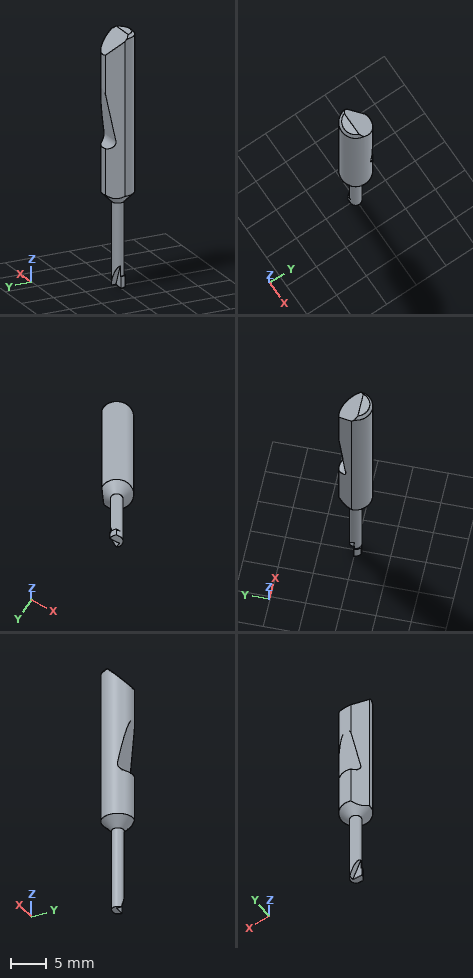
import cadquery as cq
import math

length = 38.1
shank_radius = 2.38
neck_radius = 0.895
neck_top = 12.73
shank_bottom = neck_top + shank_radius - neck_radius
top_chamfer = 0.42

bevel_start_y = -0.7
flat_distance = 1.962
flat_azimuth = 143.0
notch_bottom = 21.15
notch_top = 29.87
notch_floor_y = 1.085
notch_radius = 1.15

tooth_reach = 1.1
tooth_edge_y = 0.057
tooth_height = 1.75
flank_x = -0.95
flank_y = -0.45
heel_x = -0.6
rake_top = 3.3
rake_end_x = 0.5
end_relief = 0.1

clear = 7.62


def turned_body():
    """Chamfered shank, cone and slender neck."""
    profile = [
        (0, 0),
        (neck_radius, 0),
        (neck_radius, neck_top),
        (shank_radius, shank_bottom),
        (shank_radius, length - top_chamfer),
        (shank_radius - top_chamfer, length),
        (0, length),
    ]
    return cq.Workplane("XZ").polyline(profile).close().revolve(360, (0, 0), (0, 1))


def side_bevel():
    """45 degree cut across the +Y side of the top."""
    outline = [
        (bevel_start_y, length),
        (bevel_start_y + clear, length - clear),
        (bevel_start_y + clear, length),
    ]
    return cq.Workplane("YZ").polyline(outline).close().extrude(clear, both=True)


def shank_flat():
    """Flat running the whole length of the shank and into the cone."""
    return (
        cq.Workplane("XY")
        .box(clear, clear, length - neck_top, centered=(False, True, False))
        .translate((flat_distance, 0, neck_top))
        .rotate((0, 0, 0), (0, 0, 1), flat_azimuth)
    )


def clamping_notch():
    """Ramped notch across the +Y side, with a rounded lower end."""
    diagonal = notch_radius * math.sqrt(0.5)
    corner_y = notch_floor_y + notch_radius
    corner_z = notch_bottom + notch_radius
    return (
        cq.Workplane("YZ")
        .moveTo(shank_radius, notch_top)
        .lineTo(notch_floor_y, corner_z)
        .threePointArc((corner_y - diagonal, corner_z - diagonal), (corner_y, notch_bottom))
        .lineTo(clear, notch_bottom)
        .lineTo(clear, notch_top)
        .close()
        .extrude(clear, both=True)
    )


def tooth():
    """Cutting tooth: sharp edge on -X, with a curved flank down to the heel on -Y."""
    return (
        cq.Workplane("XY")
        .moveTo(-tooth_reach, tooth_edge_y)
        .threePointArc((flank_x, flank_y), (heel_x, -neck_radius))
        .lineTo(0, -neck_radius)
        .lineTo(0, tooth_edge_y)
        .close()
        .extrude(tooth_height)
    )


def rake_pocket():
    """Pocket behind the cutting edge, with a rake floor facing +Y and a sloping end wall."""
    outline = [
        (-neck_radius, rake_top),
        (rake_end_x, 0),
        (-clear, 0),
        (-clear, rake_top),
    ]
    return (
        cq.Workplane("XZ", origin=(0, tooth_edge_y, 0))
        .polyline(outline)
        .close()
        .extrude(-clear)
    )


def end_relief_cut():
    """Slight rise of the end face away from the cutting edge."""
    outline = [
        (-tooth_reach, 0),
        (neck_radius, 0),
        (neck_radius, end_relief),
    ]
    return cq.Workplane("XZ").polyline(outline).close().extrude(clear, both=True)


shank = turned_body().cut(side_bevel()).cut(shank_flat()).cut(clamping_notch())
result = shank.union(tooth()).cut(rake_pocket()).cut(end_relief_cut())